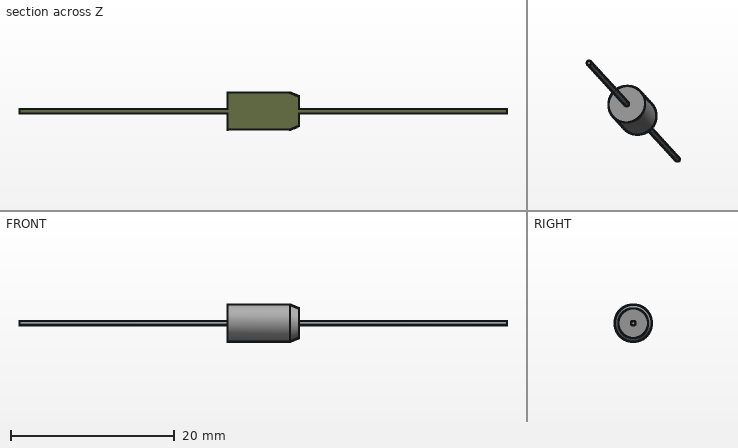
import cadquery as cq

body_length = 8.76
body_diameter = 4.57
taper_length = 1.1
taper_drop = 0.47

lead_length = 25.4
lead_diameter = 0.56


def make_body():
    """Revolve the half profile of the body around the X axis."""
    body_radius = body_diameter / 2
    body_end = body_length / 2
    profile = (
        cq.Workplane("XY")
        .moveTo(-body_end, 0)
        .lineTo(-body_end, body_radius)
        .lineTo(body_end - taper_length, body_radius)
        .lineTo(body_end, body_radius - taper_drop)
        .lineTo(body_end, 0)
        .close()
    )
    return profile.revolve(360, (0, 0, 0), (1, 0, 0))


def make_leads():
    """One straight wire through the body, sticking out by the lead length at both ends."""
    wire_length = body_length + 2 * lead_length
    return cq.Workplane("YZ").circle(lead_diameter / 2).extrude(wire_length / 2, both=True)


result = make_body().union(make_leads())